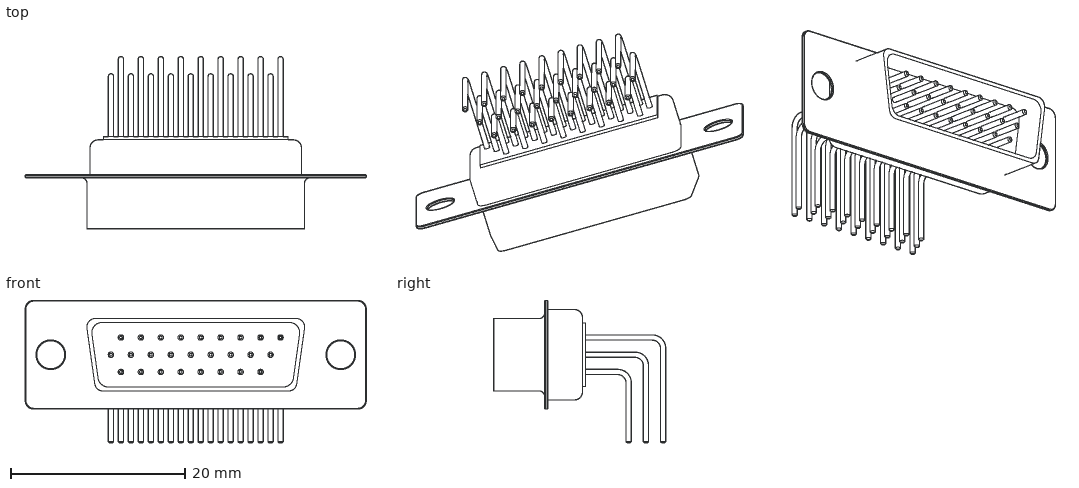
import cadquery as cq
import math


FLANGE_WIDTH = 39.2
FLANGE_HEIGHT = 12.5
FLANGE_FRONT_Y = 5.85
FLANGE_THICKNESS = 0.4
FLANGE_CORNER_RADIUS = 0.98
FLANGE_EDGE_CHAMFER = 0.098
FLANGE_BACK_Y = FLANGE_FRONT_Y + FLANGE_THICKNESS

HOLE_DIAMETER = 3.2
HOLE_SPACING = 33.32

SHELL_HEIGHT = 8.35
SHELL_TOP_WIDTH = 25.32
SHELL_WALL = 0.47
SHELL_SIDE_ANGLE = 8.0
SHELL_CORNER_RADIUS = 0.98
CAVITY_CORNER_RADIUS = 1.18
CAVITY_DEPTH = 3.72
SHELL_ROOT_RADIUS = 0.6
ROOT_MARGIN = 0.05

HOUSING_WIDTH = 24.35
HOUSING_HEIGHT = 10.43
HOUSING_BACK_Y = 10.25
HOUSING_CORNER_RADIUS = 1.05
HOUSING_RIM_RADIUS = 0.98
PAD_WIDTH = 21.25
PAD_HEIGHT = 7.35
PAD_BACK_Y = 10.6

PIN_DIAMETER = 0.63
PIN_TIP_CHAMFER = 0.15
PIN_TIP_Y = 0.25
PIN_BEND_RADIUS = 1.25
PINS_IN_FULL_ROW = 9
PINS_IN_SHORT_ROW = 8
PIN_FIELD_WIDTH = 19.5
PIN_FIELD_HEIGHT = 3.95
PIN_PITCH = PIN_FIELD_WIDTH / (PINS_IN_FULL_ROW - 0.5)
ROW_SPACING = PIN_FIELD_HEIGHT / 2
OVERALL_DEPTH = 19.8
OVERALL_HEIGHT = 16.4
PIN_BOTTOM_Z = FLANGE_HEIGHT / 2 - OVERALL_HEIGHT
REARMOST_PIN_Y = OVERALL_DEPTH - PIN_DIAMETER / 2

MIDDLE_ROW_X = -PIN_FIELD_WIDTH / 2
OFFSET_ROW_X = MIDDLE_ROW_X + PIN_PITCH / 2


def front_plane(y):
    """Workplane at a given Y whose extrusions run towards +Y (local x is -X, local y is Z)."""
    return cq.Workplane(cq.Plane(origin=(0, y, 0), xDir=(-1, 0, 0), normal=(0, 1, 0)))


def d_prism(inset, corner_radius, y_start, y_end):
    """Prism with the D outline of the shell, moved inwards by inset on all sides."""
    angle = math.radians(SHELL_SIDE_ANGLE)
    half_height = SHELL_HEIGHT / 2 - inset
    middle_half_width = SHELL_TOP_WIDTH / 2 - SHELL_HEIGHT / 2 * math.tan(angle) - inset / math.cos(angle)
    slant = half_height * math.tan(angle)
    top = middle_half_width + slant
    bottom = middle_half_width - slant
    outline = [(-top, half_height), (top, half_height), (bottom, -half_height), (-bottom, -half_height)]
    prism = front_plane(y_start).polyline(outline).close().extrude(y_end - y_start)
    return prism.edges("|Y").fillet(corner_radius)


def make_flange():
    plate = front_plane(FLANGE_FRONT_Y).rect(FLANGE_WIDTH, FLANGE_HEIGHT).extrude(FLANGE_THICKNESS)
    plate = plate.edges("|Y").fillet(FLANGE_CORNER_RADIUS)
    holes = front_plane(FLANGE_FRONT_Y).rarray(HOLE_SPACING, 0.4, 2, 1).circle(HOLE_DIAMETER / 2)
    plate = plate.cut(holes.extrude(FLANGE_THICKNESS))
    return plate.faces("<Y or >Y").edges().chamfer(FLANGE_EDGE_CHAMFER)


def make_housing():
    housing = front_plane(FLANGE_BACK_Y).rect(HOUSING_WIDTH, HOUSING_HEIGHT)
    housing = housing.extrude(HOUSING_BACK_Y - FLANGE_BACK_Y)
    housing = housing.edges("|Y").fillet(HOUSING_CORNER_RADIUS)
    housing = housing.faces(">Y").edges().fillet(HOUSING_RIM_RADIUS)
    pad = front_plane(HOUSING_BACK_Y).rect(PAD_WIDTH, PAD_HEIGHT).extrude(PAD_BACK_Y - HOUSING_BACK_Y)
    return housing.union(pad)


def make_body():
    shell = d_prism(0, SHELL_CORNER_RADIUS, 0, FLANGE_FRONT_Y)
    body = make_flange().union(shell)
    half_x = SHELL_TOP_WIDTH / 2 + ROOT_MARGIN
    half_z = SHELL_HEIGHT / 2 + ROOT_MARGIN
    root = cq.selectors.BoxSelector(
        (-half_x, FLANGE_FRONT_Y - ROOT_MARGIN, -half_z),
        (half_x, FLANGE_FRONT_Y + ROOT_MARGIN, half_z),
    )
    body = body.edges(root).fillet(SHELL_ROOT_RADIUS)
    body = body.cut(d_prism(SHELL_WALL, CAVITY_CORNER_RADIUS, 0, CAVITY_DEPTH))
    return body.union(make_housing())


def make_pin(x, z, rear_y):
    """Pin from the mating end, straight back through the body, then bent down to the board."""
    bend_y = rear_y - PIN_BEND_RADIUS
    bend_z = z - PIN_BEND_RADIUS
    diagonal = PIN_BEND_RADIUS * math.sqrt(0.5)
    path = (
        cq.Workplane("YZ", origin=(x, 0, 0))
        .moveTo(PIN_TIP_Y, z)
        .lineTo(bend_y, z)
        .threePointArc((bend_y + diagonal, bend_z + diagonal), (rear_y, bend_z))
        .lineTo(rear_y, PIN_BOTTOM_Z)
    )
    pin = front_plane(PIN_TIP_Y).center(-x, z).circle(PIN_DIAMETER / 2).sweep(path)
    return pin.faces("<Y or <Z").edges().chamfer(PIN_TIP_CHAMFER)


def make_pins():
    rows = [
        (PINS_IN_FULL_ROW, OFFSET_ROW_X, 1),
        (PINS_IN_FULL_ROW, MIDDLE_ROW_X, 0),
        (PINS_IN_SHORT_ROW, OFFSET_ROW_X, -1),
    ]
    pins = []
    for count, first_x, level in rows:
        rear_y = REARMOST_PIN_Y - (1 - level) * ROW_SPACING
        for index in range(count):
            pins.append(make_pin(first_x + index * PIN_PITCH, level * ROW_SPACING, rear_y))
    return pins


result = make_body()
for pin in make_pins():
    result = result.union(pin)